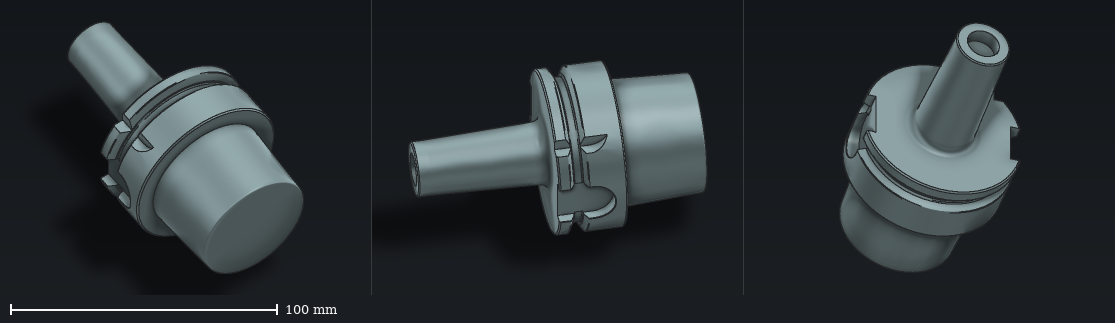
import cadquery as cq
import math


gauge_length = 76.0
flange_width = 26.0
shank_length = 32.0
nose_x = -gauge_length
flange_front_x = -flange_width

nose_diameter = 21.0
nose_cylinder_length = 5.0
nose_chamfer = 0.5
neck_diameter = 23.8
neck_cylinder_length = 1.0
neck_fillet = 3.2
neck_end_x = flange_front_x - neck_fillet
neck_start_x = neck_end_x - neck_cylinder_length

bore_diameter = 12.5
bore_depth = 6.0

flange_diameter = 63.0
flange_radius = flange_diameter / 2
flange_chamfer = 0.6
groove_center_x = -18.0
groove_floor_diameter = 55.0
groove_floor_width = 3.7
groove_mouth_width = 6.9
groove_flank_angle = 30.0
groove_floor_fillet = 0.5
groove_mouth_fillet = 0.4

shank_base_diameter = 48.64
shank_taper = 1 / 10
shank_end_diameter = shank_base_diameter - shank_taper * shank_length
shank_end_fillet = 1.0

slot_floor_y = 26.5
slot_end_x = -4.7
slot_corner_radius = 8.0
slot_rim_chamfer = 0.25
front_slot_width = 16.0
back_slot_width = 18.0

notch_wall_y = -20.0
notch_floor_z = 20.0
notch_runout_radius = 8.0
notch_runout_x = -12.9


def make_body():
    """Revolve the half profile of nose, flange and shank about X."""
    nose_radius = nose_diameter / 2
    neck_radius = neck_diameter / 2
    shank_end_radius = shank_end_diameter / 2
    fillet_mid = neck_fillet * (1 - math.sqrt(0.5))
    profile = (
        cq.Workplane("XY")
        .moveTo(nose_x, 0)
        .lineTo(nose_x, nose_radius - nose_chamfer)
        .lineTo(nose_x + nose_chamfer, nose_radius)
        .lineTo(nose_x + nose_cylinder_length, nose_radius)
        .lineTo(neck_start_x, neck_radius)
        .lineTo(neck_end_x, neck_radius)
        .threePointArc(
            (flange_front_x - fillet_mid, neck_radius + fillet_mid),
            (flange_front_x, neck_radius + neck_fillet),
        )
        .lineTo(flange_front_x, flange_radius - flange_chamfer)
        .lineTo(flange_front_x + flange_chamfer, flange_radius)
        .lineTo(-flange_chamfer, flange_radius)
        .lineTo(0, flange_radius - flange_chamfer)
        .lineTo(0, shank_base_diameter / 2)
        .lineTo(shank_length, shank_end_radius)
        .lineTo(shank_length, 0)
        .close()
    )
    body = profile.revolve(360, (0, 0, 0), (1, 0, 0))
    return body.faces(">X").edges().fillet(shank_end_fillet)


def make_groove():
    """Ring cutter for the gripper groove: flared flanks, straight lower walls and a rounded floor."""
    half_floor = groove_floor_width / 2
    half_mouth = groove_mouth_width / 2
    floor_radius = groove_floor_diameter / 2
    flank_depth = (half_mouth - half_floor) / math.tan(math.radians(groove_flank_angle))
    wall_top_radius = flange_radius - flank_depth
    mouth_turn = math.radians(90 - groove_flank_angle)
    mouth_tangent = groove_mouth_fillet * math.tan(mouth_turn / 2)
    rim_x = half_mouth + mouth_tangent
    flank_x = half_mouth - mouth_tangent * math.cos(mouth_turn)
    flank_radius = flange_radius - mouth_tangent * math.sin(mouth_turn)
    mouth_mid_x = rim_x - groove_mouth_fillet * math.sin(mouth_turn / 2)
    mouth_mid_radius = flange_radius - groove_mouth_fillet * (1 - math.cos(mouth_turn / 2))
    floor_mid = groove_floor_fillet * (1 - math.sqrt(0.5))
    profile = (
        cq.Workplane("XY", origin=(groove_center_x, 0, 0))
        .moveTo(-rim_x, flange_radius)
        .threePointArc((-mouth_mid_x, mouth_mid_radius), (-flank_x, flank_radius))
        .lineTo(-half_floor, wall_top_radius)
        .lineTo(-half_floor, floor_radius + groove_floor_fillet)
        .threePointArc(
            (-half_floor + floor_mid, floor_radius + floor_mid),
            (-half_floor + groove_floor_fillet, floor_radius),
        )
        .lineTo(half_floor - groove_floor_fillet, floor_radius)
        .threePointArc(
            (half_floor - floor_mid, floor_radius + floor_mid),
            (half_floor, floor_radius + groove_floor_fillet),
        )
        .lineTo(half_floor, wall_top_radius)
        .lineTo(flank_x, flank_radius)
        .threePointArc((mouth_mid_x, mouth_mid_radius), (rim_x, flange_radius))
        .close()
    )
    return profile.revolve(360, (0, 0, 0), (1, 0, 0))


def make_bore():
    """Blind bore in the nose."""
    return cq.Workplane("YZ", origin=(nose_x, 0, 0)).circle(bore_diameter / 2).extrude(bore_depth)


def make_slot(side, width):
    """Driving slot open to the flange front; side is -1 for -Y and +1 for +Y."""
    half_width = width / 2
    arc_start_x = slot_end_x - slot_corner_radius
    half_flat = half_width - slot_corner_radius
    arc_mid = slot_corner_radius * math.sqrt(0.5)
    outline = (
        cq.Workplane("XZ", origin=(0, side * slot_floor_y, 0))
        .moveTo(flange_front_x, -half_width)
        .lineTo(arc_start_x, -half_width)
        .threePointArc((arc_start_x + arc_mid, -half_flat - arc_mid), (slot_end_x, -half_flat))
    )
    if half_flat > 0:
        outline = outline.lineTo(slot_end_x, half_flat)
    outline = (
        outline
        .threePointArc((arc_start_x + arc_mid, half_flat + arc_mid), (arc_start_x, half_width))
        .lineTo(flange_front_x, half_width)
        .close()
    )
    return outline.extrude(-side * (flange_radius - slot_floor_y))


def chamfer_slot_rim(body, side, width):
    """Break the edges where a driving slot runs out through the cylindrical rim."""
    rim_edge_y = math.sqrt(flange_radius**2 - (width / 2) ** 2)
    margin = 0.1
    rim_edges = cq.selectors.BoxSelector(
        (flange_front_x + flange_chamfer - margin, side * (rim_edge_y - margin), -width),
        (slot_end_x + margin, side * (flange_radius + margin), width),
        boundingbox=True,
    )
    return body.edges(rim_edges).chamfer(slot_rim_chamfer)


def make_notch():
    """Square corner notch whose floor runs out upwards in an arc."""
    arc_x = notch_runout_radius * math.sqrt(0.5)
    arc_z = notch_runout_radius - arc_x
    return (
        cq.Workplane("XZ", origin=(0, notch_wall_y, 0))
        .moveTo(flange_front_x, notch_floor_z)
        .lineTo(notch_runout_x, notch_floor_z)
        .threePointArc(
            (notch_runout_x + arc_x, notch_floor_z + arc_z),
            (notch_runout_x + notch_runout_radius, notch_floor_z + notch_runout_radius),
        )
        .lineTo(flange_front_x, notch_floor_z + notch_runout_radius)
        .close()
        .extrude(flange_radius + notch_wall_y)
    )


result = make_body().cut(make_bore())
for slot_side, slot_width in ((-1, front_slot_width), (1, back_slot_width)):
    result = result.cut(make_slot(slot_side, slot_width))
    result = chamfer_slot_rim(result, slot_side, slot_width)
result = result.cut(make_groove()).cut(make_notch())